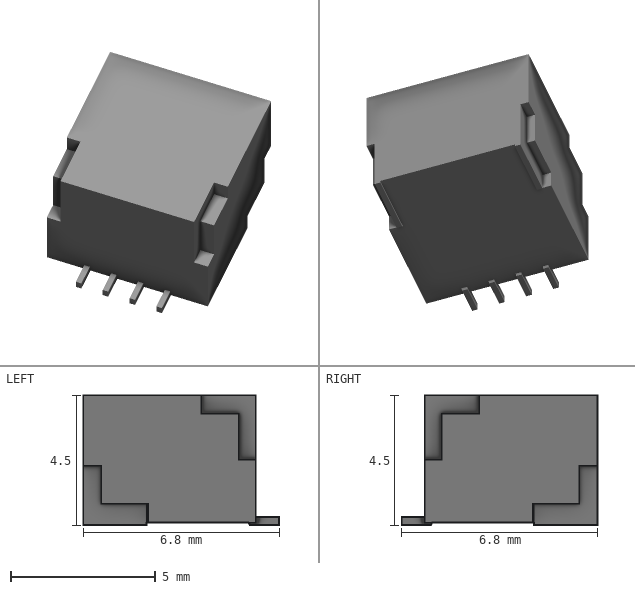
import cadquery as cq

body_width = 6.0
body_depth = 6.0
total_length = 6.8
total_height = 4.5
standoff = 0.08

recess_depth = 0.51
front_recess_length = 1.89
front_recess_height = 0.64
front_recess_leg_width = 0.59
front_recess_drop = 2.23
rear_recess_length = 2.26
rear_recess_top = 2.055
rear_recess_leg_width = 0.64
rear_recess_foot_top = 0.74

tab_thickness = 0.205
tab_length = 2.21

pin_count = 4
pin_pitch = 1.0
pin_width = 0.205
pin_height = 0.28
pin_inner_reach = 0.22
pin_slant_run = 0.04

front_y = -body_depth / 2
rear_y = body_depth / 2
side_x = body_width / 2


def side_prism(points, x_start, thickness):
    """Extrude a (Y, Z) outline along +X from x_start."""
    return cq.Workplane("YZ", origin=(x_start, 0, 0)).polyline(points).close().extrude(thickness)


def both_sides(right_solid):
    """Pair a +X side solid with its mirror image."""
    return right_solid.union(right_solid.mirror("YZ"))


def front_recess():
    leg_y = front_y + front_recess_leg_width
    end_y = front_y + front_recess_length
    shelf_z = total_height - front_recess_height
    bottom_z = total_height - front_recess_drop
    outline = [
        (front_y, total_height),
        (end_y, total_height),
        (end_y, shelf_z),
        (leg_y, shelf_z),
        (leg_y, bottom_z),
        (front_y, bottom_z),
    ]
    return side_prism(outline, side_x - recess_depth, recess_depth)


def rear_ell(foot_length, x_start, thickness):
    """L shape at the lower rear corner, with its foot along Z = 0."""
    leg_y = rear_y - rear_recess_leg_width
    end_y = rear_y - foot_length
    outline = [
        (rear_y, 0),
        (rear_y, rear_recess_top),
        (leg_y, rear_recess_top),
        (leg_y, rear_recess_foot_top),
        (end_y, rear_recess_foot_top),
        (end_y, 0),
    ]
    return side_prism(outline, x_start, thickness)


def pin(center_x):
    tip_y = rear_y - total_length
    inner_y = front_y + pin_inner_reach
    slant_end_y = inner_y + pin_slant_run
    outline = [
        (tip_y, 0),
        (inner_y, 0),
        (slant_end_y, standoff),
        (slant_end_y, pin_height),
        (tip_y, pin_height),
    ]
    return side_prism(outline, center_x - pin_width / 2, pin_width)


body_height = total_height - standoff
result = cq.Workplane("XY", origin=(0, 0, standoff)).rect(body_width, body_depth).extrude(body_height)
recess_x = side_x - recess_depth
result = result.cut(both_sides(front_recess()))
result = result.cut(both_sides(rear_ell(rear_recess_length, recess_x, recess_depth)))

result = result.union(both_sides(rear_ell(tab_length, recess_x, tab_thickness)))

for index in range(pin_count):
    result = result.union(pin((index - (pin_count - 1) / 2) * pin_pitch))